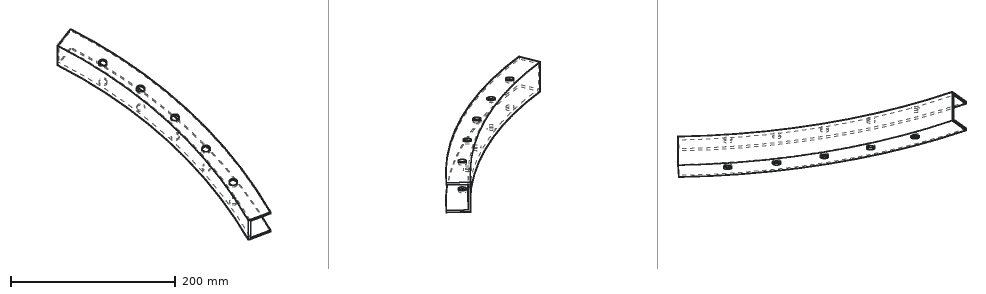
import cadquery as cq
import math

outer_radius = 654.5
flange_width = 29.8
height = 40.0
wall = 3.0
inner_radius = outer_radius - flange_width

sweep_angle = 32.7
middle_angle = -3.2
start_angle = middle_angle - sweep_angle / 2
end_angle = middle_angle + sweep_angle / 2

hole_count = 5
hole_diameter = 10.0
hole_edge_distance = 19.0
hole_radius = outer_radius - hole_edge_distance
hole_step = sweep_angle / (hole_count + 1)


def arc_point(radius, angle):
    """Point at a radius from the bend centre and an angle from +Y."""
    turn = math.radians(angle)
    return (radius * math.sin(turn), radius * math.cos(turn))


def curved_bar(near_radius, far_radius, thickness):
    """Ring segment over the full sweep, centred on Z = 0."""
    return (
        cq.Workplane("XY")
        .workplane(offset=-thickness / 2)
        .moveTo(*arc_point(near_radius, start_angle))
        .lineTo(*arc_point(far_radius, start_angle))
        .threePointArc(arc_point(far_radius, middle_angle), arc_point(far_radius, end_angle))
        .lineTo(*arc_point(near_radius, end_angle))
        .threePointArc(arc_point(near_radius, middle_angle), arc_point(near_radius, start_angle))
        .close()
        .extrude(thickness)
    )


channel = curved_bar(inner_radius, outer_radius, height)
channel_gap = curved_bar(inner_radius + wall, outer_radius, height - 2 * wall)

hole_centres = [
    arc_point(hole_radius, start_angle + step * hole_step) for step in range(1, hole_count + 1)
]
holes = (
    cq.Workplane("XY")
    .workplane(offset=-height / 2)
    .pushPoints(hole_centres)
    .circle(hole_diameter / 2)
    .extrude(height)
)

result = channel.cut(channel_gap).cut(holes)